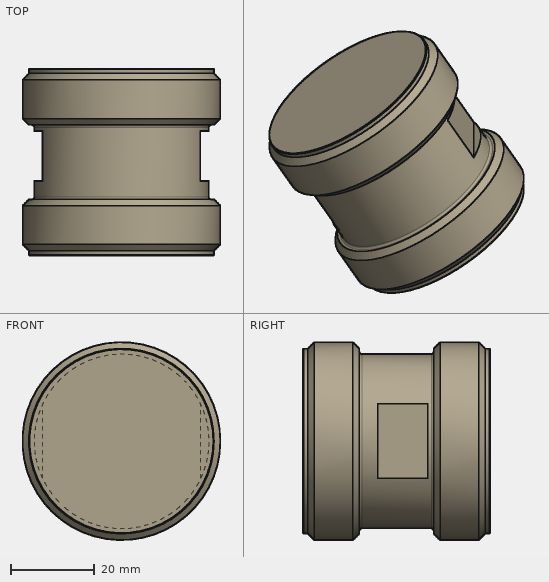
import cadquery as cq

length = 45.0
collar_diameter = 47.6
rim_diameter = 44.5
neck_diameter = 42.0

rim_length = 1.2
collar_length = 12.38
collar_bevel = (collar_diameter - rim_diameter) / 2
rim_chamfer = 0.2
neck_fillet = 0.55

across_flats = 38.0
flat_length = 12.0
flat_center_y = 1.48


def disc(diameter, start_y, thickness):
    """Cylinder along +Y starting at start_y."""
    plane = cq.Workplane("XZ", origin=(0, start_y, 0))
    return plane.circle(diameter / 2).extrude(-thickness)


def make_body():
    """Neck with a bevelled collar and a narrower rim at each end."""
    collar_offset = length / 2 - rim_length - collar_length
    body = disc(rim_diameter, -length / 2, length).faces("<Y or >Y").edges().chamfer(rim_chamfer)

    groove = disc(collar_diameter, -collar_offset, 2 * collar_offset)
    neck = disc(neck_diameter, -collar_offset, 2 * collar_offset)
    for start_y in (-collar_offset - collar_length, collar_offset):
        collar = disc(collar_diameter, start_y, collar_length).edges().chamfer(collar_bevel)
        body = body.union(collar)
    body = body.cut(groove.cut(neck))
    neck_corners = cq.selectors.RadiusNthSelector(0)
    return body.edges(neck_corners).fillet(neck_fillet)


def cut_flats(body):
    """Cut one flat on each X side of the neck."""
    cut_depth = (collar_diameter - across_flats) / 2
    for side in (-1, 1):
        center_x = side * (across_flats + cut_depth) / 2
        cutter = cq.Workplane("XY").box(cut_depth, flat_length, collar_diameter)
        body = body.cut(cutter.translate((center_x, flat_center_y, 0)))
    return body


result = cut_flats(make_body())